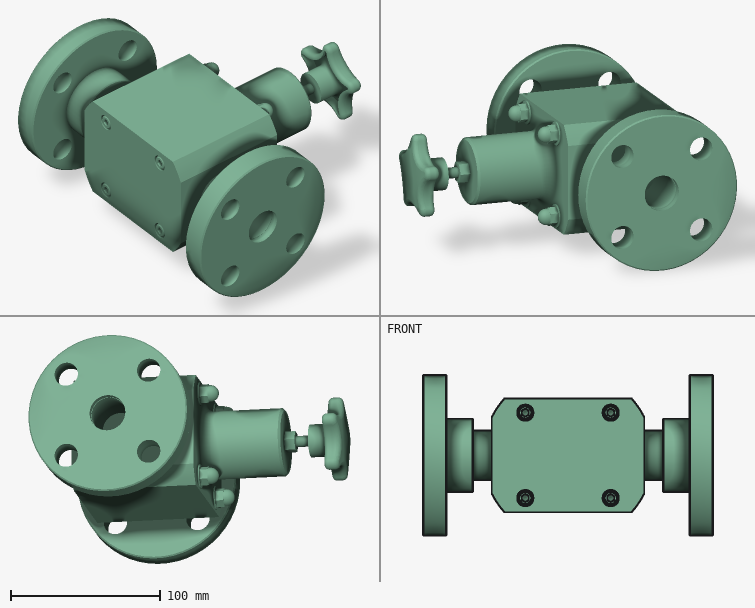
import cadquery as cq
import math


face_to_face = 194.56
flange_diameter = 107.95
overall_height = 198.79
wheel_top_y = overall_height - flange_diameter / 2

flange_thickness = 16.2
flange_chamfer = 0.9
flange_hub_diameter = 49.3
flange_hub_end_x = 63.4
hub_chamfer = 0.7
bolt_hole_diameter = 15.88
bolt_circle_diameter = 79.4
pipe_diameter = 33.4
flange_bore_diameter = 24.31
flange_bore_depth = 5.5
pipe_bore_diameter = 23.77

body_length = 102.2
body_width = 76.2
body_front_y = -33.2
body_back_y = 49.8
body_corner_diameter = 114.3

screw_spacing = 57.15
corners_to_z = 30
counterbore_diameter = 11.0
screw_head_diameter = 9.53
screw_head_height = 6.35
screw_head_chamfer = 0.8
socket_across_flats = 4.76
socket_depth = 2.5
socket_cone_depth = 1.3
washer_diameter = 16.0
washer_thickness = 1.0
acorn_across_flats = 11.1
acorn_hex_top_y = 56.1
acorn_collar_top_y = 57.4
acorn_dome_diameter = 11.0

bonnet_diameter = 45.72
bonnet_top_y = 103.4
bonnet_chamfer = 1.5
bonnet_root_radius = 6.0
spindle_diameter = 7.44
lock_nut_across_flats = 12.7
lock_nut_top_y = 110.3

wheel_hub_diameter = 22.1
wheel_hub_bottom_y = 120.2
wheel_bottom_y = 132.4
wheel_dome_radius = 140.0
lobe_count = 5
lobe_radius = 4.6
lobe_circle_radius = 24.4
valley_radius = 18.8
wheel_edge_radius = 3.1
rim_wall = 3.3
pocket_depth = 6.0
hub_root_radius = 4.0


def square_points(spacing):
    """Corners of a centred square, as local coordinates."""
    half = spacing / 2
    return [(a * half, b * half) for a in (-1, 1) for b in (-1, 1)]


def plane_at_y(y):
    """Sketch plane with local X along X and local Y along Z."""
    return cq.Workplane("XZ", origin=(0, y, 0))


def cylinder_along_y(diameter, y_start, y_end, points=((0, 0),)):
    sketch = plane_at_y(y_start).pushPoints(points).circle(diameter / 2)
    return sketch.extrude(y_start - y_end)


def hexagon_along_y(across_flats, y_start, y_end, turn=0):
    """Hexagonal prism on the spindle axis, corners on +-X before turning about Y."""
    across_corners = across_flats / math.cos(math.pi / 6)
    prism = plane_at_y(y_start).polygon(6, across_corners).extrude(y_start - y_end)
    return prism.rotate((0, 0, 0), (0, 1, 0), turn)


def at_screw_positions(shape):
    """Copies of a shape at the four screw axes."""
    copies = cq.Workplane()
    for x, z in square_points(screw_spacing):
        copies = copies.add(shape.translate((x, 0, z)))
    return copies.combine()


def make_body():
    block = cq.Workplane().box(body_length, body_back_y - body_front_y, body_width)
    block = block.translate((0, (body_back_y + body_front_y) / 2, 0))
    return block.intersect(cylinder_along_y(body_corner_diameter, body_front_y, body_back_y))


def make_pipe_end():
    """Flange, hub and pipe stub on the +X side, bored up to the body."""
    face_x = face_to_face / 2
    back_x = face_x - flange_thickness
    body_x = body_length / 2
    flange = cq.Workplane("YZ", origin=(back_x, 0, 0)).circle(flange_diameter / 2)
    flange = flange.extrude(flange_thickness).edges().chamfer(flange_chamfer)
    bolt_spacing = bolt_circle_diameter / math.sqrt(2)
    flange = flange.faces(">X").workplane().pushPoints(square_points(bolt_spacing))
    flange = flange.hole(bolt_hole_diameter)

    hub = cq.Workplane("YZ", origin=(flange_hub_end_x, 0, 0)).circle(flange_hub_diameter / 2)
    hub = hub.extrude(back_x - flange_hub_end_x).faces("<X").edges().chamfer(hub_chamfer)
    pipe = cq.Workplane("YZ", origin=(body_x, 0, 0)).circle(pipe_diameter / 2)
    pipe = pipe.extrude(back_x - body_x)

    bore = cq.Workplane("YZ", origin=(body_x, 0, 0)).circle(pipe_bore_diameter / 2)
    bore = bore.extrude(face_x - body_x)
    mouth = cq.Workplane("YZ", origin=(face_x, 0, 0)).circle(flange_bore_diameter / 2)
    mouth = mouth.extrude(-flange_bore_depth)
    return flange.union(hub).union(pipe).cut(bore).cut(mouth)


def make_screw_head():
    """Socket head, flush with the body front; the hexagon ends in a conical bottom."""
    head = cylinder_along_y(screw_head_diameter, body_front_y, body_front_y + screw_head_height)
    head = head.faces("<Y").edges().chamfer(screw_head_chamfer)
    floor_y = body_front_y + socket_depth
    socket = hexagon_along_y(socket_across_flats, body_front_y, floor_y, corners_to_z)
    cone = cq.Solid.makeCone(
        socket_across_flats / 2, 0, socket_cone_depth, cq.Vector(0, floor_y, 0), cq.Vector(0, 1, 0)
    )
    return head.cut(socket).cut(cq.Workplane(cone))


def make_acorn_nut():
    washer_top_y = body_back_y + washer_thickness
    nut = cylinder_along_y(washer_diameter, body_back_y, washer_top_y)
    nut = nut.union(hexagon_along_y(acorn_across_flats, washer_top_y, acorn_hex_top_y, corners_to_z))
    nut = nut.union(cylinder_along_y(acorn_dome_diameter, acorn_hex_top_y, acorn_collar_top_y))
    dome = cq.Workplane().sphere(acorn_dome_diameter / 2).translate((0, acorn_collar_top_y, 0))
    return nut.union(dome)


def root_flare(diameter, flare_radius, y_root, direction):
    """Solid of revolution that flares in a concave arc onto the face at y_root.

    direction is +1 when the shaft leaves the face towards +Y and -1 towards -Y.
    """
    radius = diameter / 2
    arc_offset = flare_radius * (1 - math.sqrt(0.5))
    tip_y = y_root + direction * flare_radius
    profile = (
        cq.Workplane("XY")
        .moveTo(0, y_root)
        .lineTo(radius + flare_radius, y_root)
        .threePointArc((radius + arc_offset, y_root + direction * arc_offset), (radius, tip_y))
        .lineTo(0, tip_y)
        .close()
    )
    return profile.revolve(360, (0, 0, 0), (0, 1, 0))


def make_bonnet():
    """Turned bonnet with a chamfered top and a concave flare at its root."""
    barrel = cylinder_along_y(bonnet_diameter, body_back_y, bonnet_top_y)
    barrel = barrel.faces(">Y").edges().chamfer(bonnet_chamfer)
    return barrel.union(root_flare(bonnet_diameter, bonnet_root_radius, body_back_y, 1))


def polar(radius, angle):
    return (radius * math.cos(angle), radius * math.sin(angle))


def wheel_outline(y):
    """Round lobes joined by tangent concave arcs, first lobe towards +Z."""
    half_pitch = math.pi / lobe_count
    reach = valley_radius - lobe_radius
    valley_centre = (lobe_circle_radius**2 - reach**2) / (
        2 * (lobe_circle_radius * math.cos(half_pitch) - reach)
    )
    share = lobe_radius / (valley_centre - reach)
    along = lobe_circle_radius + share * (valley_centre * math.cos(half_pitch) - lobe_circle_radius)
    across = share * valley_centre * math.sin(half_pitch)
    tangent_radius = math.hypot(along, across)
    tangent_angle = math.atan2(across, along)

    first = math.pi / 2
    outline = plane_at_y(y).moveTo(*polar(tangent_radius, first - tangent_angle))
    for lobe in range(lobe_count):
        angle = first + 2 * half_pitch * lobe
        next_angle = angle + 2 * half_pitch
        outline = outline.threePointArc(
            polar(lobe_circle_radius + lobe_radius, angle),
            polar(tangent_radius, angle + tangent_angle),
        ).threePointArc(
            polar(valley_radius, angle + half_pitch),
            polar(tangent_radius, next_angle - tangent_angle),
        )
    return outline.close()


def make_handwheel():
    """Domed, lobed wheel with rounded edges, hollow underneath around its hub."""
    wheel = wheel_outline(wheel_bottom_y).extrude(wheel_bottom_y - wheel_top_y)
    dome = cq.Workplane().sphere(wheel_dome_radius)
    dome = dome.translate((0, wheel_top_y - wheel_dome_radius, 0))
    wheel = wheel.intersect(dome)
    wheel = wheel.faces("<Y").edges().fillet(wheel_edge_radius)
    wheel = wheel.faces(">Y").edges().fillet(wheel_edge_radius)
    pocket = wheel_outline(wheel_bottom_y).offset2D(-rim_wall).extrude(-pocket_depth)
    roof_y = wheel_bottom_y + pocket_depth
    hub = cylinder_along_y(wheel_hub_diameter, wheel_hub_bottom_y, roof_y)
    flare = root_flare(wheel_hub_diameter, hub_root_radius, roof_y, -1)
    return wheel.cut(pocket.cut(flare)).union(hub)


screw_points = square_points(screw_spacing)
counterbore_floor_y = body_front_y + screw_head_height
pipe_end = make_pipe_end()

result = make_body()
result = result.cut(
    cylinder_along_y(counterbore_diameter, body_front_y, counterbore_floor_y, screw_points)
)
result = result.union(at_screw_positions(make_screw_head()))
result = result.union(at_screw_positions(make_acorn_nut()))
result = result.union(pipe_end).union(pipe_end.mirror("YZ"))
result = result.union(make_bonnet())
result = result.union(hexagon_along_y(lock_nut_across_flats, bonnet_top_y, lock_nut_top_y))
result = result.union(cylinder_along_y(spindle_diameter, bonnet_top_y, wheel_hub_bottom_y))
result = result.union(make_handwheel())